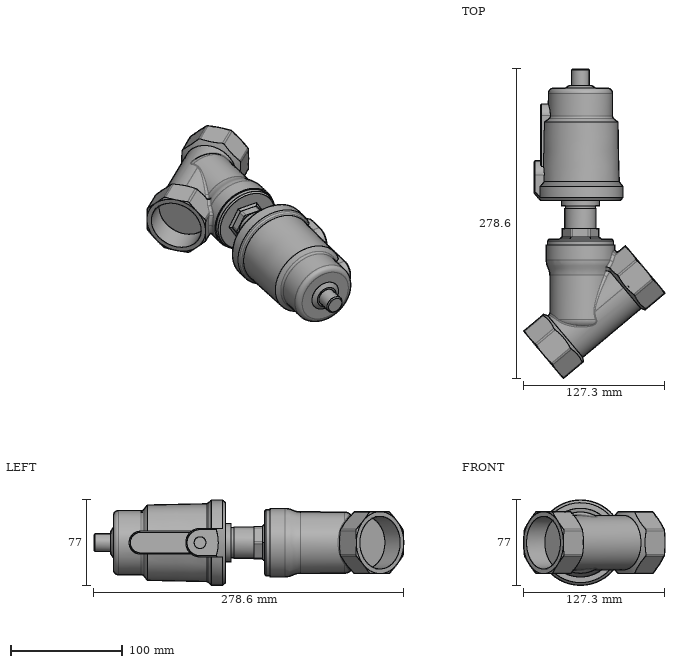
import cadquery as cq
import math


overall_length = 278.6

run_angle = 40.0
run_length = 119.5
run_center_x = 12.5
pipe_radius = 24.5
octagon_sides = 8
octagon_turn = 180.0 / octagon_sides
octagon_flats = 55.7
octagon_edge_radius = 2.5
octagon_length = 25.5
cone_length = 3.3
mouth_chamfer = 0.8
bore_radius = 23.7
bore_depth = 21.5

branch_radius = 27.5
branch_end_radius = 7.2
branch_end_y = -3.3
neck_in_y = 43.7
rim_radius = 31.0
rim_start_y = 57.5
rim_top_y = 71.0
crotch_radius = 2.2
crotch_zone_gap = 0.3
joint_tolerance = 0.15

disc_radius = 29.8
disc_top_y = 76.0
disc_chamfer = 1.5
hex_sides = 6
hex_flats = 29.3
hex_edge_radius = 2.5
hex_top_y = 85.5
hex_flare = 2.0
hex_flare_taper = 45.0
stem_radius = 14.2
stem_top_y = 103.7
relief_radius = 13.7

collar_radius = 17.3
collar_bottom_y = 106.2
flange_radius = 38.5
flange_bottom_y = 111.0
flange_face_radius = 36.0
flange_top_y = 124.8
flange_top_chamfer = 1.0
housing_base_radius = 35.0
housing_base_y = 128.0
groove_radius = 36.0
groove_y = 126.5
housing_top_radius = 34.0
housing_top_y = 181.5
shoulder_radius = 30.0
shoulder_y = 184.5
cap_radius = 29.0
cap_base_y = 187.0
cap_top_y = 212.0
cap_edge_radius = 4.7
boss_base_radius = 14.0
boss_top_radius = 9.8
boss_top_y = 214.5
pin_radius = 8.0
pin_chamfer = 1.0
lower_mouth_drop = (run_length * math.sin(math.radians(run_angle))
                    + octagon_flats * math.cos(math.radians(run_angle))) / 2
lower_mouth_y = run_center_x * math.tan(math.radians(run_angle)) - lower_mouth_drop
pin_top_y = overall_length + lower_mouth_y

rail_face_x = -36.0
rail_half_width = 10.3
rail_center_y = 187.5
port_face_x = -41.8
port_half_width = 12.8
port_center_y = 134.0
port_slope_y = 117.5
pad_chamfer = 1.0
pad_root_x = -19.5
port_hole_radius = 5.3
port_hole_depth = 8.4


def revolve_about_y(profile):
    """Close a half-profile drawn in the XY plane and spin it about the Y axis."""
    return profile.close().revolve(360, (0, 0, 0), (0, 1, 0))


def prism_along_y(sides, flats, start_y, height, taper=0):
    """Regular prism with flats facing +Z and -Z, growing along +Y."""
    plane = cq.Plane((0, start_y, 0), xDir=(1, 0, 0), normal=(0, 1, 0))
    corner_diameter = flats / math.cos(math.pi / sides)
    return cq.Workplane(plane).polygon(sides, corner_diameter).extrude(height, taper=taper)


def make_branch():
    """Branch with a rounded inner end and an S-shaped swell up to the rim."""
    bend = branch_end_radius * math.sqrt(0.5)
    return revolve_about_y(
        cq.Workplane("XY")
        .moveTo(0, branch_end_y)
        .lineTo(branch_radius - branch_end_radius, branch_end_y)
        .threePointArc(
            (branch_radius - branch_end_radius + bend, branch_end_y + branch_end_radius - bend),
            (branch_radius, branch_end_y + branch_end_radius),
        )
        .lineTo(branch_radius, neck_in_y)
        .spline([(rim_radius, rim_start_y)], tangents=[(0, 1), (0, 1)], includeCurrent=True)
        .lineTo(rim_radius, rim_top_y)
        .lineTo(0, rim_top_y)
    )


def run_plane(distance, inward):
    """Plane across the pipe run at a distance from its middle, facing along inward * run axis."""
    angle = math.radians(run_angle)
    axis = (math.cos(angle), math.sin(angle), 0)
    middle_y = run_center_x * math.tan(angle)
    origin = (run_center_x + distance * axis[0], middle_y + distance * axis[1], 0)
    return cq.Plane(origin, xDir=(0, 0, 1), normal=(inward * axis[0], inward * axis[1], 0))


def make_fitting(plane):
    """Octagonal end fitting, growing inward from its mouth, without its bore."""
    corner_radius = octagon_flats / 2 / math.cos(math.pi / octagon_sides)
    octagon = (
        cq.Workplane(plane)
        .transformed(rotate=(0, 0, octagon_turn))
        .polygon(octagon_sides, 2 * corner_radius)
        .extrude(octagon_length)
    )
    octagon = octagon.edges(cq.selectors.ParallelDirSelector(plane.zDir)).fillet(octagon_edge_radius)
    rounding = (
        cq.Workplane("XZ")
        .polyline([
            (0, 0),
            (octagon_flats / 2, 0),
            (corner_radius, mouth_chamfer),
            (corner_radius, octagon_length - cone_length),
            (pipe_radius, octagon_length),
            (0, octagon_length),
        ])
        .close()
        .revolve(360, (0, 0, 0), (0, 1, 0))
    )
    return octagon.intersect(cq.Workplane(rounding.val().moved(plane.location)))


def is_branch_joint(edge):
    """True for an edge where the pipe or a fitting runs into the side of the branch."""
    middle = edge.positionAt(0.5)
    distance_from_axis = math.hypot(middle.x, middle.z)
    on_branch = branch_radius - joint_tolerance < distance_from_axis < rim_radius + joint_tolerance
    return on_branch and edge.geomType() != "LINE"


def make_valve_body():
    half_run = run_length / 2
    end_planes = [run_plane(-half_run, 1), run_plane(half_run, -1)]
    pipe = (
        cq.Workplane(end_planes[0])
        .workplane(offset=bore_depth)
        .circle(pipe_radius)
        .extrude(run_length - 2 * bore_depth)
    )
    body = make_branch().union(pipe)
    for plane in end_planes:
        body = body.union(make_fitting(plane))
    crotch_zone = cq.selectors.BoxSelector(
        (pipe_radius / 4, pipe_radius / 4, -octagon_flats),
        (2 * octagon_flats, rim_top_y - crotch_zone_gap, octagon_flats),
    )
    body = body.edges(crotch_zone).filter(is_branch_joint).fillet(crotch_radius)
    for plane in end_planes:
        body = body.cut(cq.Workplane(plane).circle(bore_radius).extrude(bore_depth))
    return body


def make_bonnet():
    disc = revolve_about_y(
        cq.Workplane("XY")
        .moveTo(0, rim_top_y)
        .lineTo(disc_radius, rim_top_y)
        .lineTo(disc_radius, disc_top_y - disc_chamfer)
        .lineTo(disc_radius - disc_chamfer, disc_top_y)
        .lineTo(0, disc_top_y)
    )
    hexagon = prism_along_y(hex_sides, hex_flats, disc_top_y, hex_top_y - disc_top_y)
    hexagon = hexagon.edges("|Y").fillet(hex_edge_radius)
    foot = prism_along_y(hex_sides, hex_flats + 2 * hex_flare, disc_top_y, hex_flare, hex_flare_taper)
    stem = revolve_about_y(
        cq.Workplane("XY")
        .moveTo(0, disc_top_y)
        .lineTo(stem_radius, disc_top_y)
        .lineTo(stem_radius, stem_top_y)
        .lineTo(relief_radius, stem_top_y)
        .lineTo(relief_radius, collar_bottom_y)
        .lineTo(0, collar_bottom_y)
    )
    return disc.union(hexagon).union(foot).union(stem)


def make_actuator_shell():
    """Collar, flange, tapered housing, cap and indicator pin as one turned shape."""
    cap_bend = cap_edge_radius * (1 - math.sqrt(0.5))
    return revolve_about_y(
        cq.Workplane("XY")
        .moveTo(0, collar_bottom_y)
        .lineTo(collar_radius, collar_bottom_y)
        .lineTo(collar_radius, flange_bottom_y)
        .lineTo(flange_radius, flange_bottom_y)
        .lineTo(flange_radius, flange_top_y - flange_top_chamfer)
        .lineTo(flange_radius - flange_top_chamfer, flange_top_y)
        .lineTo(groove_radius, groove_y)
        .lineTo(housing_base_radius, housing_base_y)
        .lineTo(housing_top_radius, housing_top_y)
        .lineTo(shoulder_radius, shoulder_y)
        .tangentArcPoint((cap_radius, cap_base_y), relative=False)
        .lineTo(cap_radius, cap_top_y - cap_edge_radius)
        .threePointArc(
            (cap_radius - cap_bend, cap_top_y - cap_bend),
            (cap_radius - cap_edge_radius, cap_top_y),
        )
        .lineTo(boss_base_radius, cap_top_y)
        .lineTo(boss_top_radius, boss_top_y)
        .lineTo(pin_radius, boss_top_y)
        .lineTo(pin_radius, pin_top_y - pin_chamfer)
        .lineTo(pin_radius - pin_chamfer, pin_top_y)
        .lineTo(0, pin_top_y)
    )


def make_pad(face_x, half_width, round_center_y):
    """Pad on the -X side, straight from the flange bottom up to a half-round end."""
    return (
        cq.Workplane("YZ", origin=(face_x, 0, 0))
        .moveTo(flange_bottom_y, -half_width)
        .lineTo(round_center_y, -half_width)
        .threePointArc((round_center_y + half_width, 0), (round_center_y, half_width))
        .lineTo(flange_bottom_y, half_width)
        .close()
        .extrude(pad_root_x - face_x)
    )


def make_bottom_cone():
    """Ring to cut away: it leaves one conical bevel under the flange and the foot of the port."""
    slope = (port_slope_y - flange_bottom_y) / (-port_face_x - flange_face_radius)
    reach = math.hypot(port_face_x, port_half_width) + pad_chamfer
    return revolve_about_y(
        cq.Workplane("XY")
        .moveTo(flange_face_radius, flange_bottom_y)
        .lineTo(reach, flange_bottom_y)
        .lineTo(reach, flange_bottom_y + slope * (reach - flange_face_radius))
    )


def make_actuator():
    rail = make_pad(rail_face_x, rail_half_width, rail_center_y)
    rail = rail.faces("<X").edges("not(<Y)").chamfer(pad_chamfer)
    port = make_pad(port_face_x, port_half_width, port_center_y)
    port = port.faces("<X").edges("not(<Y)").chamfer(pad_chamfer)
    hole = (
        cq.Workplane("YZ", origin=(port_face_x, port_center_y, 0))
        .circle(port_hole_radius)
        .extrude(port_hole_depth)
    )
    return make_actuator_shell().union(rail).union(port).cut(make_bottom_cone()).cut(hole)


valve_body = make_valve_body()
bonnet = make_bonnet()
actuator = make_actuator()

result = cq.Compound.makeCompound([valve_body.val(), bonnet.val(), actuator.val()])